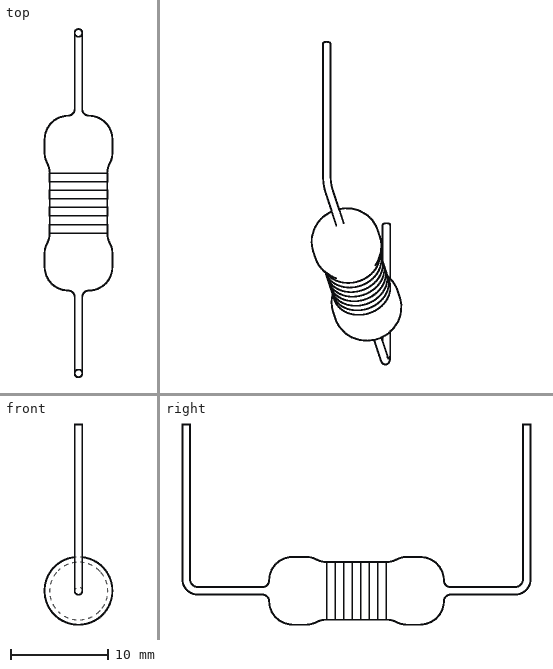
import cadquery as cq

wire_diameter = 0.8
lead_spacing = 35.0
lead_height = 17.1
bend_radius = 1.5 * wire_diameter

body_length = 18.0
body_diameter = 7.0
end_rounding = 2.45
bulb_flat_end = 5.12
neck_blend_middle = 4.15

waist_diameter = 5.95
band_diameter = 5.97
band_count = 4
band_width = 0.88

wire_radius = wire_diameter / 2
body_radius = body_diameter / 2
waist_radius = waist_diameter / 2
band_radius = band_diameter / 2
half_body = body_length / 2
half_spacing = lead_spacing / 2
banded_length = (2 * band_count - 1) * band_width
half_banded = banded_length / 2
flat_radius = body_radius - end_rounding
collar_fillet = flat_radius - wire_radius


def make_body():
    """Dumbbell body: rounded bulbs blended by two tangent arcs into a plain waist."""
    outer_run = bulb_flat_end - neck_blend_middle
    inner_run = neck_blend_middle - half_banded
    total_drop = body_radius - waist_radius
    middle_radius = body_radius - total_drop * outer_run / (outer_run + inner_run)
    cylinder_end = half_body - end_rounding
    return (
        cq.Workplane("XY")
        .moveTo(0, -half_body)
        .lineTo(flat_radius, -half_body)
        .tangentArcPoint((body_radius, -cylinder_end), relative=False)
        .lineTo(body_radius, -bulb_flat_end)
        .tangentArcPoint((middle_radius, -neck_blend_middle), relative=False)
        .tangentArcPoint((waist_radius, -half_banded), relative=False)
        .lineTo(waist_radius, half_banded)
        .tangentArcPoint((middle_radius, neck_blend_middle), relative=False)
        .tangentArcPoint((body_radius, bulb_flat_end), relative=False)
        .lineTo(body_radius, cylinder_end)
        .tangentArcPoint((flat_radius, half_body), relative=False)
        .lineTo(0, half_body)
        .close()
        .revolve(360, (0, 0), (0, 1))
    )


def make_band(index):
    """One colour band around the waist, counted from the -Y end."""
    start = -half_banded + 2 * index * band_width
    return cq.Workplane("XZ", origin=(0, start, 0)).circle(band_radius).extrude(-band_width)


def make_lead():
    """Wire lead on the +Y side: out of the body, round the bend and up."""
    path = (
        cq.Workplane("YZ")
        .moveTo(half_body, 0)
        .lineTo(half_spacing - bend_radius, 0)
        .tangentArcPoint((half_spacing, bend_radius), relative=False)
        .lineTo(half_spacing, lead_height)
    )
    return cq.Workplane("XZ", origin=(0, half_body, 0)).circle(wire_radius).sweep(path)


def make_collar():
    """Concave flare where the lead meets the flat end of the body."""
    return (
        cq.Workplane("XY")
        .moveTo(0, half_body)
        .lineTo(flat_radius, half_body)
        .radiusArc((wire_radius, half_body + collar_fillet), collar_fillet)
        .lineTo(0, half_body + collar_fillet)
        .close()
        .revolve(360, (0, 0), (0, 1))
    )


result = make_body()
for band_index in range(band_count):
    result = result.union(make_band(band_index))
lead_with_collar = make_collar().union(make_lead())
result = result.union(lead_with_collar).union(lead_with_collar.mirror("XZ"))